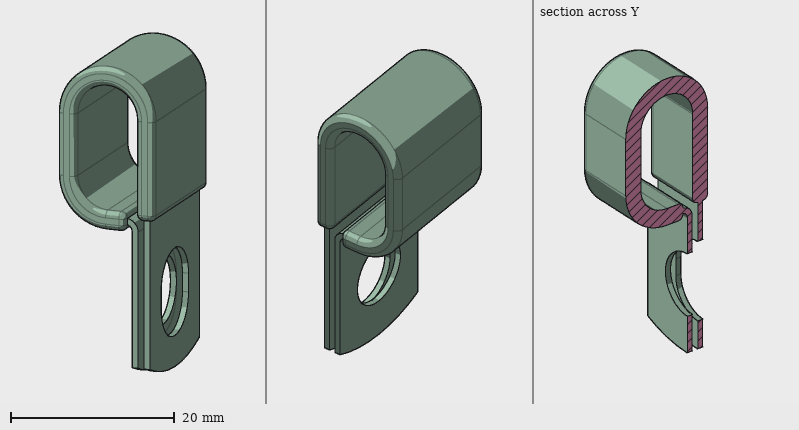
import cadquery as cq
import math


outer_width = 12.73
cushion_length = 17.46
overall_height = 39.62
metal = 0.8
rubber = 0.8
bend_spacing = 7.92
right_arm_length = 12.7
left_end_x = 2.55
leg_bend_inner = 0.8
hole_diameter = 8.73
slot_offset = 1.19
hole_above_tip = 9.52
tip_rise = 1.69

outer_radius = outer_width / 2
wrap = metal + 2 * rubber
bore_radius = outer_radius - wrap
band_inner = bore_radius + rubber
band_outer = band_inner + metal
band_width = cushion_length - 2 * rubber
tip_z = outer_radius - overall_height
hole_z = tip_z + hole_above_tip
left_leg_x = bore_radius
leg_bend_outer = leg_bend_inner + metal
leg_bend_x = left_leg_x - leg_bend_outer
leg_bend_z = -bend_spacing - band_inner - leg_bend_outer


def loop_profile(inner, outer, right_bottom, left_end):
    """Hook-shaped outline: right arm, upper bend, left side, lower bend, short left arm."""
    diagonal = math.sqrt(0.5)
    return (
        cq.Workplane("XZ")
        .moveTo(outer, right_bottom)
        .lineTo(outer, 0)
        .threePointArc((0, outer), (-outer, 0))
        .lineTo(-outer, -bend_spacing)
        .threePointArc((-outer * diagonal, -bend_spacing - outer * diagonal), (0, -bend_spacing - outer))
        .lineTo(left_end, -bend_spacing - outer)
        .lineTo(left_end, -bend_spacing - inner)
        .lineTo(0, -bend_spacing - inner)
        .threePointArc((-inner * diagonal, -bend_spacing - inner * diagonal), (-inner, -bend_spacing))
        .lineTo(-inner, 0)
        .threePointArc((0, inner), (inner, 0))
        .lineTo(inner, right_bottom)
        .close()
    )


def make_cushion():
    """Rubber wrap with every outside edge rounded."""
    profile = loop_profile(bore_radius, outer_radius, -right_arm_length, left_end_x)
    body = profile.extrude(cushion_length / 2, both=True)
    arm_end_region = cq.selectors.BoxSelector(
        (left_end_x - rubber, -cushion_length, tip_z),
        (outer_width, cushion_length, -bend_spacing),
    )
    arm_end_edges = body.edges("|Y").edges(arm_end_region)
    rounded_edges = arm_end_edges.add(body.faces("<Y or >Y").edges())
    return rounded_edges.fillet(rubber)


def make_left_leg():
    """Quarter bend from the lower arm down into the straight left leg."""
    quarter = (
        cq.Workplane("XZ")
        .moveTo(leg_bend_x, leg_bend_z)
        .circle(leg_bend_outer)
        .circle(leg_bend_inner)
        .extrude(band_width / 2, both=True)
    )
    corner = (
        cq.Workplane("XZ")
        .moveTo(leg_bend_x, leg_bend_z)
        .rect(leg_bend_outer, leg_bend_outer, centered=False)
        .extrude(band_width / 2, both=True)
    )
    straight = make_straight_leg(left_leg_x - metal, leg_bend_z)
    return quarter.intersect(corner).union(straight)


def make_straight_leg(left_face_x, top_z):
    """Flat strip from the given height down to the leg tip."""
    height = top_z - tip_z
    return (
        cq.Workplane("XY", origin=(left_face_x, 0, tip_z))
        .rect(metal, band_width)
        .extrude(height)
        .translate((metal / 2, 0, 0))
    )


def make_band():
    """Bent metal strip: loop with its right leg, plus the left leg."""
    loop = loop_profile(band_inner, band_outer, tip_z, leg_bend_x)
    return loop.extrude(band_width / 2, both=True).union(make_left_leg())


def make_bolt_openings():
    """Round hole through the left leg and an upright slot through the right leg."""
    hole = (
        cq.Workplane("YZ")
        .center(0, hole_z)
        .circle(hole_diameter / 2)
        .extrude(left_leg_x)
    )
    slot = (
        cq.Workplane("YZ", origin=(left_leg_x, 0, hole_z))
        .slot2D(hole_diameter + 2 * slot_offset, hole_diameter, 90)
        .extrude(wrap)
    )
    return hole.union(slot)


def make_tip_trim():
    """Waste below the arc that rounds both leg tips."""
    half_width = band_width / 2
    return (
        cq.Workplane("YZ")
        .moveTo(-half_width, tip_z + tip_rise)
        .threePointArc((0, tip_z), (half_width, tip_z + tip_rise))
        .lineTo(half_width, tip_z - metal)
        .lineTo(-half_width, tip_z - metal)
        .close()
        .extrude(outer_width)
    )


band = make_band().cut(make_bolt_openings()).cut(make_tip_trim())
result = make_cushion().union(band)